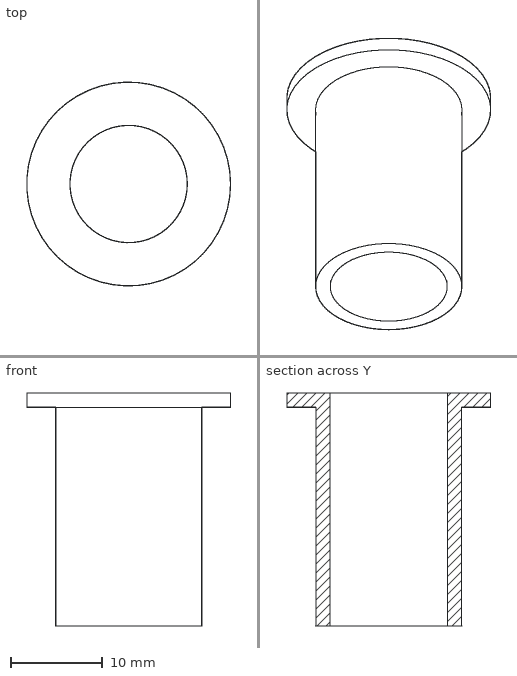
import cadquery as cq

total_height = 25.4
flange_diameter = 22.22
flange_thickness = 1.57
sleeve_diameter = 15.95
bore_diameter = 12.75

sleeve = cq.Workplane("XY").circle(sleeve_diameter / 2).extrude(total_height)

flange = (
    cq.Workplane("XY")
    .workplane(offset=total_height - flange_thickness)
    .circle(flange_diameter / 2)
    .extrude(flange_thickness)
)

bore = cq.Workplane("XY").circle(bore_diameter / 2).extrude(total_height)

result = sleeve.union(flange).cut(bore)